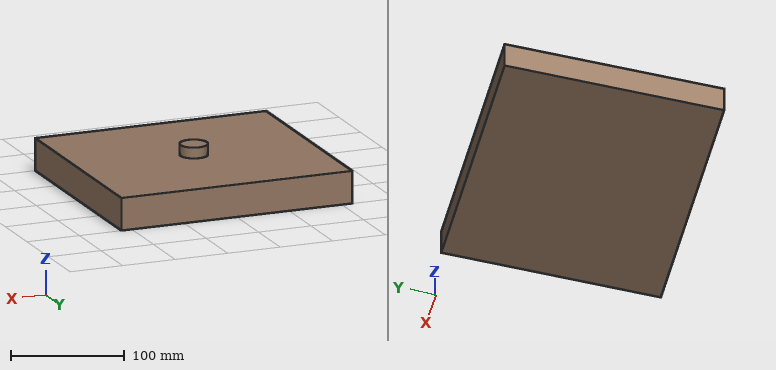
import cadquery as cq

plate_length = 220.0
plate_width = 200.0
plate_thickness = 30.0
boss_diameter = 25.0
boss_height = 10.0


def make_plate():
    """Rectangular plate centred on the Z axis, resting on Z = 0."""
    return cq.Workplane("XY").box(
        plate_length, plate_width, plate_thickness, centered=(True, True, False)
    )


def make_boss():
    """Round boss standing on the middle of the plate's upper face."""
    return (
        cq.Workplane("XY")
        .workplane(offset=plate_thickness)
        .circle(boss_diameter / 2)
        .extrude(boss_height)
    )


result = make_plate().union(make_boss())